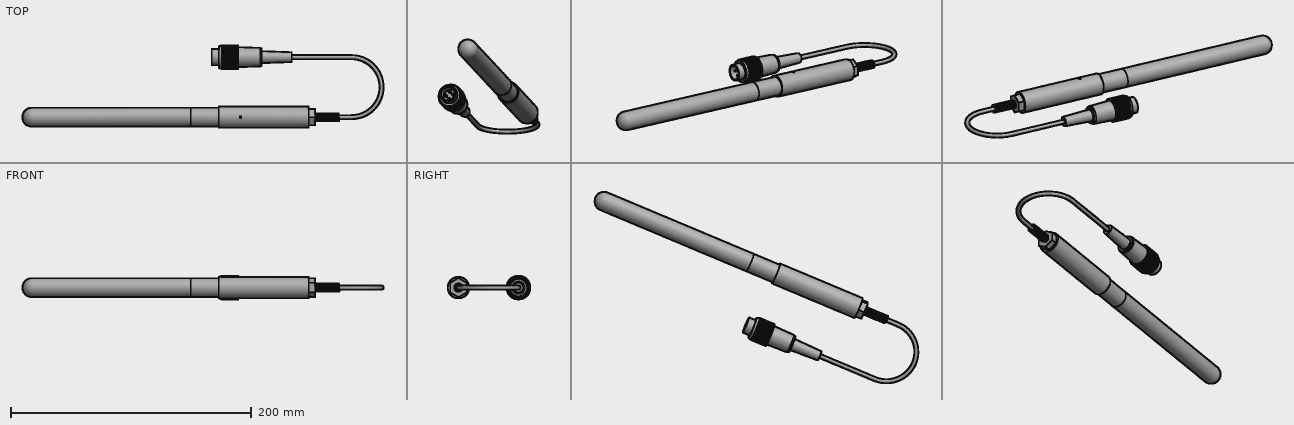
import cadquery as cq
import math

TIP_DIAMETER = 16.0
TIP_END = 140.5
COLLAR_END = 164.0
HANDLE_DIAMETER = 18.0
HANDLE_END = 238.5
VENT_DIAMETER = 1.5
VENT_DEPTH = 1.5
VENT_X = 182.0
NUT_ACROSS_FLATS = 14.0
NUT_END = 244.0

SPRING_DIAMETER = 7.0
SPRING_WIRE = 1.0
SPRING_PITCH = 1.02
SPRING_END = 264.5

CABLE_DIAMETER = 3.5
CABLE_SPACING = 50.0
OVERALL_LENGTH = 301.2
BEND_RADIUS = CABLE_SPACING / 2
BEND_X = OVERALL_LENGTH - BEND_RADIUS - CABLE_DIAMETER / 2

PLUG_FRONT = 157.8
RING_START = 164.0
RING_END = 179.8
RING_DIAMETER = 20.0
BAND_LENGTH = 2.5
BAND_DIAMETER = 18.0
KNURL_COUNT = 28
KNURL_WIDTH = 1.5
SLEEVE_DIAMETER = 14.0
SOCKET_DIAMETER = 11.5
SOCKET_DEPTH = 9.0
PIN_DIAMETER = 1.5
PIN_CIRCLE_RADIUS = 3.3
PIN_COUNT = 4
PIN_LENGTH = 6.0
SHELL_FRONT_DIAMETER = 17.0
SHELL_REAR_DIAMETER = 15.7
SHELL_END_DIAMETER = 14.5
SHELL_END = 199.7
SHELL_TAPER_LENGTH = 1.5
BOOT_FRONT_DIAMETER = 10.2
BOOT_REAR_DIAMETER = 8.5
BOOT_END = 224.7
BOOT_TAPER_LENGTH = 1.0
BOOT_END_DIAMETER = 8.0


def section_at(x, y=0.0):
    """Plane across the X axis whose local axes are Y and Z."""
    return cq.Workplane("YZ", origin=(x, y, 0))


def rod(diameter, x_start, x_end, y=0.0):
    return section_at(x_start, y).circle(diameter / 2).extrude(x_end - x_start)


def turned(stations, y):
    """Solid of revolution through (x, diameter) stations along an axis parallel to X."""
    rim = [(x, y + diameter / 2) for x, diameter in stations]
    profile = [(stations[0][0], y), *rim, (stations[-1][0], y)]
    return cq.Workplane("XY").polyline(profile).close().revolve(360, (0, y, 0), (1, y, 0))


def make_tip():
    tip_radius = TIP_DIAMETER / 2
    dome = cq.Workplane("XY", origin=(tip_radius, 0, 0)).sphere(tip_radius)
    dome = dome.intersect(rod(2 * TIP_DIAMETER, 0, tip_radius))
    return rod(TIP_DIAMETER, tip_radius, TIP_END).union(dome)


def make_collar():
    return rod(TIP_DIAMETER, TIP_END, COLLAR_END)


def make_handle():
    handle_top = HANDLE_DIAMETER / 2
    vent = cq.Workplane("XY", origin=(VENT_X, 0, handle_top - VENT_DEPTH))
    vent = vent.circle(VENT_DIAMETER / 2).extrude(VENT_DEPTH * 2)
    return rod(HANDLE_DIAMETER, COLLAR_END, HANDLE_END).cut(vent)


def make_nut():
    across_corners = NUT_ACROSS_FLATS / math.cos(math.pi / 6)
    hexagon = section_at(HANDLE_END).transformed(rotate=(0, 0, 90)).polygon(6, across_corners)
    return hexagon.extrude(NUT_END - HANDLE_END)


def make_spring():
    coil_radius = (SPRING_DIAMETER - SPRING_WIRE) / 2
    coil_length = SPRING_END - NUT_END - SPRING_WIRE
    helix = cq.Wire.makeHelix(SPRING_PITCH, coil_length, coil_radius)
    wire_start = cq.Workplane("XZ", origin=(coil_radius, 0, 0)).circle(SPRING_WIRE / 2)
    coil = wire_start.sweep(helix, isFrenet=True)
    coil = coil.rotate((0, 0, 0), (0, 1, 0), 90)
    return coil.translate((NUT_END + SPRING_WIRE / 2, 0, 0))


def make_cable():
    path = (
        cq.Workplane("XY")
        .moveTo(NUT_END, 0)
        .lineTo(BEND_X, 0)
        .threePointArc((BEND_X + BEND_RADIUS, BEND_RADIUS), (BEND_X, CABLE_SPACING))
        .lineTo(BOOT_END, CABLE_SPACING)
    )
    return section_at(NUT_END).circle(CABLE_DIAMETER / 2).sweep(path)


def make_coupling_ring():
    band_end = RING_START + BAND_LENGTH
    ring = turned(
        [(RING_START, BAND_DIAMETER), (band_end, RING_DIAMETER), (RING_END, RING_DIAMETER)],
        CABLE_SPACING,
    )
    grooves = (
        section_at(band_end, CABLE_SPACING)
        .polarArray(RING_DIAMETER / 2, 0, 360, KNURL_COUNT)
        .polygon(4, KNURL_WIDTH)
        .extrude(RING_END - band_end)
    )
    ring = ring.cut(grooves)
    return ring.cut(rod(SLEEVE_DIAMETER, RING_START, RING_END, CABLE_SPACING))


def make_plug_shell():
    shell = turned(
        [
            (RING_END, SHELL_FRONT_DIAMETER),
            (SHELL_END - SHELL_TAPER_LENGTH, SHELL_REAR_DIAMETER),
            (SHELL_END, SHELL_END_DIAMETER),
        ],
        CABLE_SPACING,
    )
    shell = shell.union(rod(SLEEVE_DIAMETER, PLUG_FRONT, RING_END, CABLE_SPACING))
    socket_end = PLUG_FRONT + SOCKET_DEPTH
    shell = shell.cut(rod(SOCKET_DIAMETER, PLUG_FRONT, socket_end, CABLE_SPACING))
    pins = (
        section_at(socket_end, CABLE_SPACING)
        .polarArray(PIN_CIRCLE_RADIUS, 0, 360, PIN_COUNT)
        .circle(PIN_DIAMETER / 2)
        .extrude(-PIN_LENGTH)
    )
    return shell.union(pins)


def make_boot():
    return turned(
        [
            (SHELL_END, BOOT_FRONT_DIAMETER),
            (BOOT_END - BOOT_TAPER_LENGTH, BOOT_REAR_DIAMETER),
            (BOOT_END, BOOT_END_DIAMETER),
        ],
        CABLE_SPACING,
    )


tip = make_tip()
collar = make_collar()
handle = make_handle()
nut = make_nut()
spring = make_spring()
cable = make_cable()
coupling_ring = make_coupling_ring()
plug_shell = make_plug_shell()
boot = make_boot()

result = cq.Compound.makeCompound(
    [
        tip.val(),
        collar.val(),
        handle.val(),
        nut.val(),
        spring.val(),
        cable.val(),
        coupling_ring.val(),
        plug_shell.val(),
        boot.val(),
    ]
)